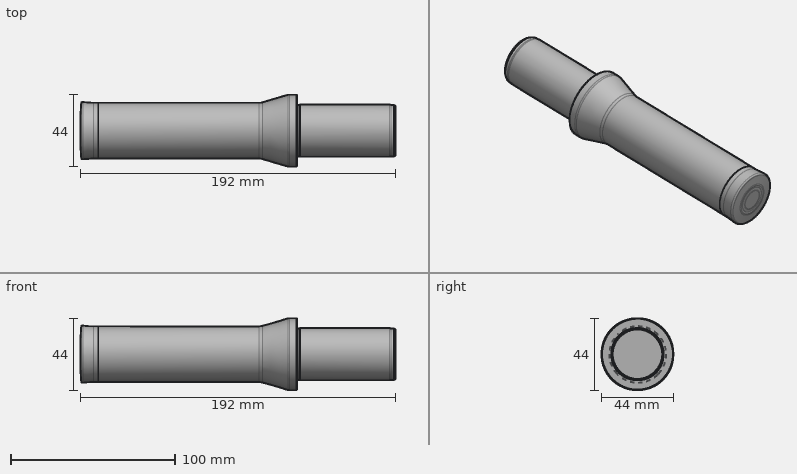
import cadquery as cq
import math


total_length = 191.99
cut_diameter = 35.0
body_diameter = 34.0
flange_diameter = 44.0
shank_diameter = 32.0
relief_diameter = 31.5

head_length = 11.0
taper_end = 8.0
face_angle = 4.0
center_flat_radius = 6.2
center_cone_radius = 6.6
valley_radius = 8.4
crest_radius = 9.7
valley_depth = 0.14
crest_flank_radius = 10.6
crest_flank_depth = 0.12
corner_radius = 1.0

flange_back = 132.0
flange_rim_start = 126.7
flange_cone_start = 109.8
flange_chamfer = 0.5
cone_foot_fillet = 7.0
cone_rim_fillet = 4.0

neck_length = 1.2
neck_chamfer = 0.6
tail_relief_length = 2.9
tail_step_length = 1.1
tail_chamfer_length = 1.2
tail_face_radius = 15.0


def cone_depth(radial_width):
    """Axial fall of a face cone over a radial width."""
    return radial_width * math.tan(math.radians(face_angle))


def revolve_about_axis(profile):
    """Turn a closed (x, radius) profile about the X axis."""
    return profile.close().revolve(360, (0, 0, 0), (1, 0, 0))


def make_cutting_head():
    """Back-tapered head with a W-shaped front face."""
    cut_radius = cut_diameter / 2
    body_radius = body_diameter / 2
    center_edge_depth = valley_depth - cone_depth(valley_radius - center_cone_radius)
    face_edge_radius = cut_radius - corner_radius
    face_edge_x = crest_flank_depth + cone_depth(face_edge_radius - crest_flank_radius)
    arc_reach = corner_radius / math.sqrt(2)
    corner_middle = (face_edge_x + corner_radius - arc_reach, face_edge_radius + arc_reach)
    profile = (
        cq.Workplane("XY")
        .moveTo(0, 0)
        .lineTo(0, center_flat_radius)
        .lineTo(center_edge_depth, center_cone_radius)
        .lineTo(valley_depth, valley_radius)
        .lineTo(0, crest_radius)
        .lineTo(crest_flank_depth, crest_flank_radius)
        .lineTo(face_edge_x, face_edge_radius)
        .threePointArc(corner_middle, (face_edge_x + corner_radius, cut_radius))
        .lineTo(taper_end, body_radius)
        .lineTo(head_length, body_radius)
        .lineTo(head_length, 0)
    )
    return revolve_about_axis(profile)


def make_drill_body():
    """Straight body, conical flange and clamping shank in one piece."""
    body_radius = body_diameter / 2
    flange_radius = flange_diameter / 2
    shank_radius = shank_diameter / 2
    relief_radius = relief_diameter / 2
    neck_end = flange_back + neck_length
    tail_relief_start = total_length - tail_relief_length
    tail_chamfer_start = total_length - tail_chamfer_length
    profile = (
        cq.Workplane("XY")
        .moveTo(head_length, 0)
        .lineTo(head_length, body_radius)
        .lineTo(flange_cone_start, body_radius)
        .lineTo(flange_rim_start, flange_radius)
        .lineTo(flange_back - flange_chamfer, flange_radius)
        .lineTo(flange_back, flange_radius - flange_chamfer)
        .lineTo(flange_back, relief_radius)
        .lineTo(neck_end, relief_radius)
        .lineTo(neck_end + neck_chamfer, shank_radius)
        .lineTo(tail_relief_start - tail_step_length, shank_radius)
        .lineTo(tail_relief_start, relief_radius)
        .lineTo(tail_chamfer_start, relief_radius)
        .lineTo(total_length, tail_face_radius)
        .lineTo(total_length, 0)
    )
    return revolve_about_axis(profile)


def round_circle_at(solid, x, fillet_radius):
    """Fillet the outer circular edges whose centre lies at x."""
    half_window = 0.01
    reach = flange_diameter
    picker = cq.selectors.BoxSelector(
        (x - half_window, -reach, -reach), (x + half_window, reach, reach), boundingbox=True
    )
    return solid.edges(picker).fillet(fillet_radius)


cutting_head = make_cutting_head()

drill_body = make_drill_body()
drill_body = round_circle_at(drill_body, flange_cone_start, cone_foot_fillet)
drill_body = round_circle_at(drill_body, flange_rim_start, cone_rim_fillet)

result = cq.Compound.makeCompound([cutting_head.val(), drill_body.val()])